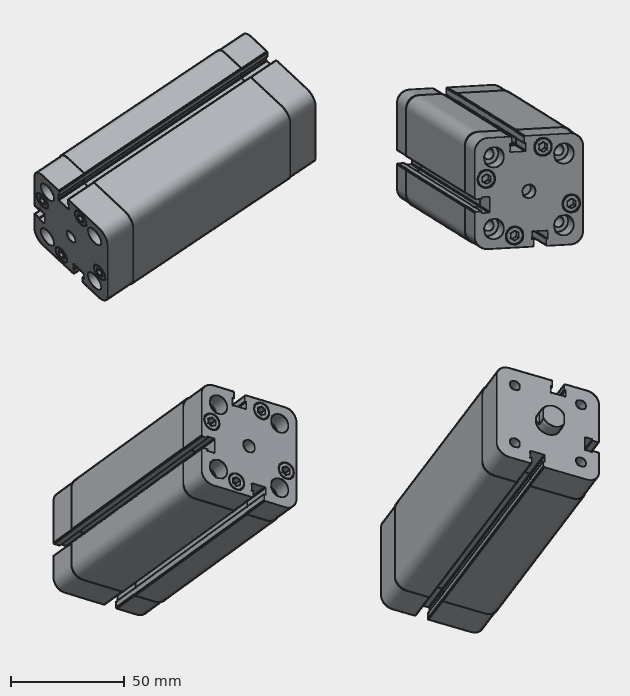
import cadquery as cq


overall_length = 125.5
tube_width = 50.1
cap_width = 49.7
corner_radius = 6.0
rod_projection = 5.9
cap_length = 14.7
body_length = overall_length - rod_projection
tube_length = body_length - 2 * cap_length

slot_offset = 5.0
slot_mouth_width = 5.6
slot_lip_height = 21.6
tube_slot_inner_width = 6.9
tube_slot_floor_height = 18.1
cap_slot_clearance = 0.1
slot_mouth_chamfer = 0.44
slot_floor_chamfer = 0.4
slot_side_angles = (0, 90, 180)

mounting_spacing = 32.0
mounting_hole_diameter = 4.9
mounting_counterbore_diameter = 9.0
mounting_counterbore_depth = 8.8
port_diameter = 6.0
port_depth = 7.5

screw_side_offset = 6.5
screw_axis_distance = 19.5
screw_recess_diameter = 8.0
screw_head_diameter = 7.5
screw_groove_depth = 1.0
screw_hex_flats = 3.8
screw_hex_depth = 3.8

rod_diameter = 12.0
rod_flats_width = 10.0
rod_flat_collar = 0.8
rod_tip_taper_length = 1.3
rod_tip_diameter = 11.3


def front_plane(y):
    """Sketch plane at the given Y, with local x = X, local y = Z and its normal toward -Y."""
    return cq.Workplane("XZ", origin=(0, y, 0))


def rod_axis_turn(shape, angle):
    return shape.rotate((0, 0, 0), (0, 1, 0), angle)


def slot_cutter(width, y_start, length, clearance):
    """T-slot in the top side, with chamfered mouth edges and floor corners.

    The clearance widens the inner chamber on each side and deepens its floor.
    """
    outer = width / 2
    half_mouth = slot_mouth_width / 2
    half_inner = tube_slot_inner_width / 2 + clearance
    floor = tube_slot_floor_height - clearance
    right_side = [
        (half_inner - slot_floor_chamfer, floor),
        (half_inner, floor + slot_floor_chamfer),
        (half_inner, slot_lip_height),
        (half_mouth, slot_lip_height),
        (half_mouth, outer - slot_mouth_chamfer),
        (half_mouth + slot_mouth_chamfer, outer),
    ]
    left_side = [(-x, z) for x, z in reversed(right_side)]
    outline = [(x - slot_offset, z) for x, z in right_side + left_side]
    return front_plane(y_start).polyline(outline).close().extrude(-length)


def body_section(width, y_start, length, slot_clearance):
    """Rounded square length of the body with its three T-slots."""
    section = front_plane(y_start).rect(width, width).extrude(-length)
    section = section.edges("|Y").fillet(corner_radius)
    top_slot = slot_cutter(width, y_start, length, slot_clearance)
    for angle in slot_side_angles:
        section = section.cut(rod_axis_turn(top_slot, -angle))
    return section


def piston_rod():
    """Short rod end with a tapered tip and two flats that run out at 45 degrees."""
    radius = rod_diameter / 2
    tip_radius = rod_tip_diameter / 2
    rod = (
        cq.Workplane("XY")
        .moveTo(0, body_length - cap_length)
        .lineTo(radius, body_length - cap_length)
        .lineTo(radius, overall_length - rod_tip_taper_length)
        .lineTo(tip_radius, overall_length)
        .lineTo(0, overall_length)
        .close()
        .revolve(360, (0, 0, 0), (0, 1, 0))
    )
    flat_half = rod_flats_width / 2
    run_out_start = body_length + rod_flat_collar
    run_out = radius - flat_half
    flat_cutter = (
        cq.Workplane("XY", origin=(0, 0, -radius))
        .moveTo(radius, run_out_start)
        .lineTo(flat_half, run_out_start + run_out)
        .lineTo(flat_half, overall_length)
        .lineTo(radius, overall_length)
        .close()
        .extrude(rod_diameter)
    )
    return rod.cut(flat_cutter).cut(rod_axis_turn(flat_cutter, 180))


def mounting_holes():
    """Four through holes, counterbored from the front."""
    holes = front_plane(0).rect(mounting_spacing, mounting_spacing, forConstruction=True).vertices()
    through = holes.circle(mounting_hole_diameter / 2).extrude(-body_length)
    counterbores = holes.circle(mounting_counterbore_diameter / 2).extrude(-mounting_counterbore_depth)
    return through.union(counterbores)


def screw_cutter():
    """Clearance grooves and hexagon sockets of four screws, one near each side.

    All sockets have corners along Z.
    """
    near, far = screw_side_offset, screw_axis_distance
    centers = front_plane(0).pushPoints([(near, far), (far, -near), (-near, -far), (-far, near)])
    recesses = centers.circle(screw_recess_diameter / 2).extrude(-screw_groove_depth)
    heads = centers.circle(screw_head_diameter / 2).extrude(-screw_groove_depth)
    sockets = centers.polygon(6, screw_hex_flats, circumscribed=True).extrude(-screw_hex_depth)
    return recesses.cut(heads).union(sockets)


result = body_section(cap_width, 0, cap_length, cap_slot_clearance)
result = result.union(body_section(tube_width, cap_length, tube_length, 0))
result = result.union(body_section(cap_width, cap_length + tube_length, cap_length, cap_slot_clearance))
result = result.union(piston_rod())

result = result.cut(mounting_holes())
result = result.cut(front_plane(0).circle(port_diameter / 2).extrude(-port_depth))
result = result.cut(screw_cutter())